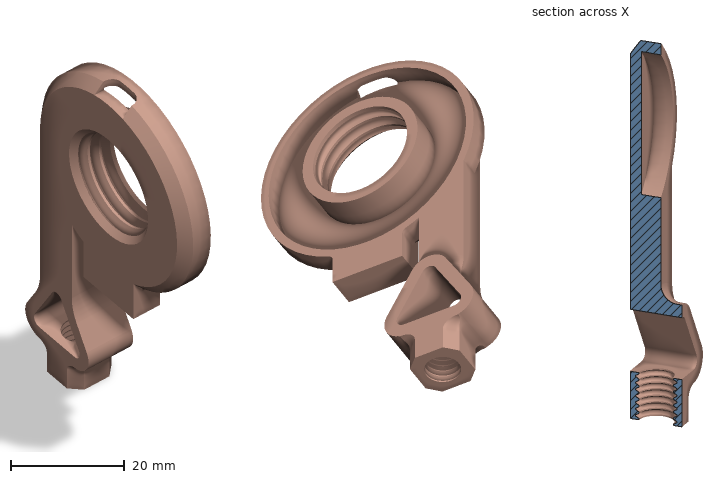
import cadquery as cq
import math


disc_radius = 21.4
disc_thickness = 6.0
disc_chamfer = 2.0
front_radius = disc_radius - disc_chamfer
dish_radius = 19.8
dish_floor = 2.2
hub_radius = 11.55
hub_top = 8.6

bore_radius = 9.45
bore_major_radius = 11.0
bore_mouth_radius = 11.15
bore_pitch = 2.5

window_width = 8.0
window_depth = 4.2
window_corner = 2.0

tab_width = 14.0
tab_bottom = -26.35
tab_fillet = 1.0

arm_left = -front_radius
arm_width = 9.0
arm_blend = 10.0
arm_cove = 3.0

loop_center_x = -14.6
loop_depth = 10.0
loop_side = 10.0
loop_hole_corner = 1.5
loop_wall = 2.5
loop_corner = loop_hole_corner + loop_wall
loop_floor_z = -47.1
loop_base_z = loop_floor_z + loop_hole_corner
loop_apex_z = loop_base_z + loop_side * math.sqrt(3) / 2

stem_width = 10.0
stem_chamfer = 2.2
stem_bottom = disc_radius - 77.5
stem_fillet = 2.0
stem_hole_radius = 3.25
stem_hole_major_radius = 3.95
stem_pitch = 1.25


def cylinder(radius, y_start, y_end):
    """Cylinder on the bore axis."""
    return cq.Workplane("XZ", origin=(0, y_start, 0)).circle(radius).extrude(y_start - y_end)


def cone(start_radius, end_radius, length):
    """Cone on the bore axis, starting at the front face."""
    solid = cq.Solid.makeCone(start_radius, end_radius, length, cq.Vector(0, 0, 0), cq.Vector(0, 1, 0))
    return cq.Workplane("XY").add(solid)


def block(x_min, x_max, y_min, y_max, z_min, z_max):
    size = (x_max - x_min, y_max - y_min, z_max - z_min)
    return cq.Workplane("XY").box(*size, centered=False).translate((x_min, y_min, z_min))


def rounded_triangle(corner_radius):
    """Prism over the loop triangle, rounded about the triangle's corner points."""
    half = loop_side / 2
    return (
        cq.Workplane("XZ")
        .polyline([
            (loop_center_x - half, loop_base_z),
            (loop_center_x + half, loop_base_z),
            (loop_center_x, loop_apex_z),
        ])
        .close()
        .offset2D(corner_radius)
        .extrude(-loop_depth)
    )


def threaded_hole(minor_radius, major_radius, pitch, length):
    """Hole along Z from Z = 0, with evenly spaced V-shaped ring grooves in its wall."""
    mouth = pitch * 0.4
    root = pitch / 16
    count = int(length / pitch)
    margin = (length - count * pitch) / 2
    outline = [(0, 0), (minor_radius, 0)]
    for index in range(count):
        middle = margin + (index + 0.5) * pitch
        outline += [
            (minor_radius, middle - mouth),
            (major_radius, middle - root),
            (major_radius, middle + root),
            (minor_radius, middle + mouth),
        ]
    outline += [(minor_radius, length), (0, length)]
    return cq.Workplane("XZ").polyline(outline).close().revolve(360, (0, 0, 0), (0, 1, 0))


def make_disc():
    half = tab_width / 2
    rim = cylinder(disc_radius, disc_chamfer, disc_thickness)
    tab = block(-half, half, disc_chamfer, disc_thickness, tab_bottom, 0)
    tab_corners = cq.selectors.BoxSelector(
        (-tab_width, 0, -disc_radius), (tab_width, disc_thickness, -disc_radius / 2)
    )
    back = rim.union(tab).edges("|Y").edges(tab_corners).fillet(tab_fillet)
    front = cone(front_radius, disc_radius, disc_chamfer)
    front_tab = block(-half, half, 0, disc_chamfer, tab_bottom, 0)
    return back.union(front).union(front_tab)


def make_window():
    """Round-cornered radial opening, bottoming on the front circle of the disc."""
    half = window_width / 2
    opening = block(-half, half, -window_depth, window_depth, 0, disc_radius)
    opening = opening.edges("|Z and >Y").fillet(window_corner)
    return opening.cut(cylinder(front_radius, -window_depth, disc_thickness))


def make_arm_and_loop():
    loop = rounded_triangle(loop_corner)
    arm = block(arm_left, arm_left + arm_width, 0, loop_depth, loop_floor_z, 0)
    joint = cq.selectors.BoxSelector(
        (loop_center_x - loop_side, 0, loop_base_z + loop_wall),
        (loop_center_x + loop_side, loop_depth, -loop_side),
    )
    body = arm.union(loop).edges("|Y").edges(joint).fillet(arm_blend)
    return body.cut(arm_relief(loop))


def arm_relief(loop):
    """Space behind the arm; its floor curves up in a cove where it meets the loop."""
    reach = 2 * loop_side
    above_arm = 0.8
    clearance = 0.1
    space = block(
        loop_center_x - reach, loop_center_x + reach, disc_thickness, loop_depth, loop_base_z, above_arm
    ).cut(loop)
    loop_edges = cq.selectors.BoxSelector(
        (loop_center_x - reach / 2, 0, loop_base_z + clearance),
        (loop_center_x + reach / 2, loop_depth, 0),
    )
    return space.faces("<Y").edges(loop_edges).fillet(arm_cove)


def make_stem():
    """Square stem flaring into the loop's bottom corners, with its long corners bevelled."""
    half = stem_width / 2
    corner_x = loop_side / 2
    flare_x = half + stem_fillet
    reach = loop_corner + stem_fillet
    flare_z = loop_base_z - math.sqrt(reach**2 - (flare_x - corner_x) ** 2)
    share = loop_corner / reach
    touch_x = corner_x + (flare_x - corner_x) * share
    touch_z = loop_base_z + (flare_z - loop_base_z) * share
    middle_x = flare_x - stem_fillet * math.cos(math.pi / 4)
    middle_z = flare_z + stem_fillet * math.sin(math.pi / 4)
    stem = (
        cq.Workplane("XZ")
        .moveTo(-half, stem_bottom)
        .lineTo(half, stem_bottom)
        .lineTo(half, flare_z)
        .threePointArc((middle_x, middle_z), (touch_x, touch_z))
        .lineTo(corner_x, loop_base_z)
        .lineTo(-corner_x, loop_base_z)
        .lineTo(-touch_x, touch_z)
        .threePointArc((-middle_x, middle_z), (-half, flare_z))
        .close()
        .extrude(half, both=True)
    )
    for turn in (45, 135, 225, 315):
        stem = stem.cut(stem_bevel().rotate((0, 0, 0), (0, 0, 1), turn))
    return stem.translate((loop_center_x, loop_depth / 2, 0))


def stem_bevel():
    """Cutter for one bevel, curving outward under the loop at its upper end."""
    bevel_x = (stem_width - stem_chamfer) / math.sqrt(2)
    top_z = loop_floor_z - loop_wall
    return (
        cq.Workplane("XZ")
        .moveTo(bevel_x, stem_bottom)
        .lineTo(bevel_x, top_z - stem_fillet)
        .radiusArc((bevel_x + stem_fillet, top_z), stem_fillet)
        .lineTo(bevel_x + stem_width, top_z)
        .lineTo(bevel_x + stem_width, stem_bottom)
        .close()
        .extrude(stem_width, both=True)
    )


def cut_bore(body):
    mouth = cone(bore_mouth_radius, bore_radius, bore_mouth_radius - bore_radius)
    bore = threaded_hole(bore_radius, bore_major_radius, bore_pitch, hub_top)
    return body.cut(bore.rotate((0, 0, 0), (1, 0, 0), -90)).cut(mouth)


def cut_stem_hole(body):
    length = loop_floor_z - stem_bottom
    hole = threaded_hole(stem_hole_radius, stem_hole_major_radius, stem_pitch, length)
    return body.cut(hole.translate((loop_center_x, loop_depth / 2, stem_bottom)))


body = make_disc().union(make_arm_and_loop()).union(make_stem())
body = body.cut(cylinder(dish_radius, dish_floor, disc_thickness)).cut(make_window())
body = body.union(cylinder(hub_radius, 0, hub_top))
body = body.cut(rounded_triangle(loop_hole_corner))
result = cut_stem_hole(cut_bore(body))